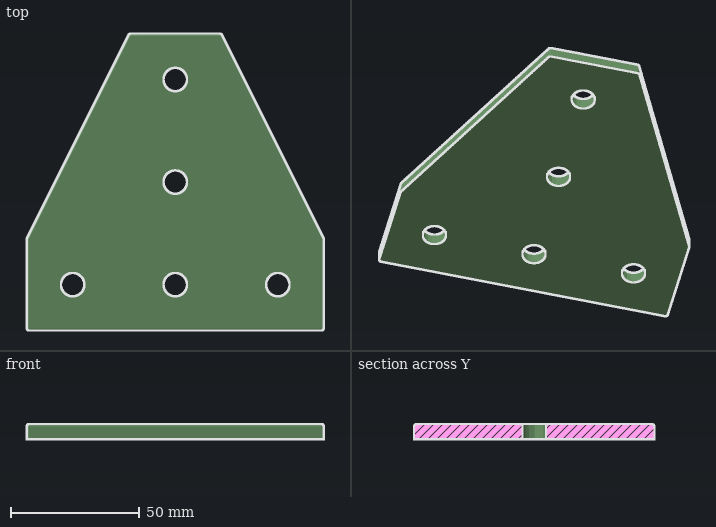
import cadquery as cq

width = 116.0
depth = 116.0
thickness = 6.0
arm_width = 36.0
edge_radius = 1.0

hole_diameter = 9.0
hole_pitch = 40.0
hole_row_offset = arm_width / 2

half_width = width / 2
half_arm = arm_width / 2

outline = [
    (-half_width, 0),
    (half_width, 0),
    (half_width, arm_width),
    (half_arm, depth),
    (-half_arm, depth),
    (-half_width, arm_width),
]
plate = cq.Workplane("XY").polyline(outline).close().extrude(thickness)

plate = plate.edges("|Z").fillet(edge_radius)
plate = plate.faces(">Z").edges().fillet(edge_radius)

row_holes = [(step * hole_pitch, hole_row_offset) for step in (-1, 0, 1)]
stem_holes = [(0, hole_row_offset + step * hole_pitch) for step in (1, 2)]
holes = (
    cq.Workplane("XY")
    .pushPoints(row_holes + stem_holes)
    .circle(hole_diameter / 2)
    .extrude(thickness)
)

result = plate.cut(holes)